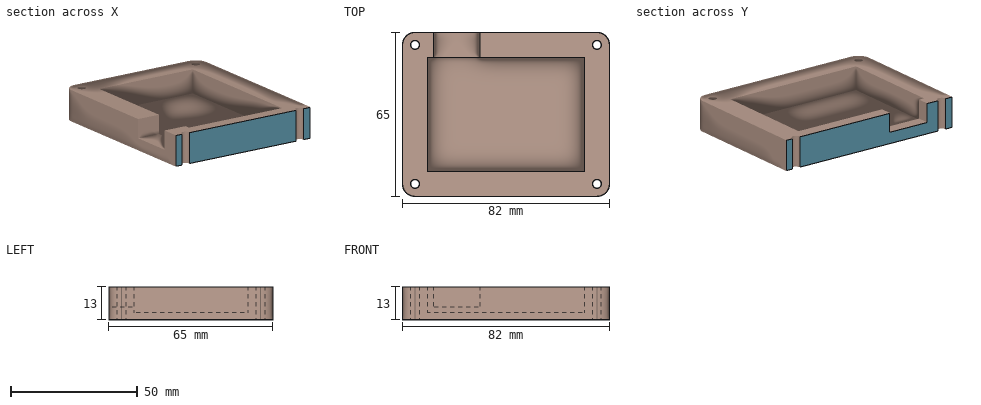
import cadquery as cq

length = 82.0
width = 65.0
height = 13.0
corner_radius = 5.0

wall = 10.0
pocket_depth = 10.0
pocket_length = length - 2 * wall
pocket_width = width - 2 * wall

notch_depth = 8.0
notch_length = 18.3
notch_offset = 2.4
notch_left = -pocket_length / 2 + notch_offset

hole_diameter = 3.4
hole_spacing_x = length - 2 * corner_radius
hole_spacing_y = width - 2 * corner_radius


def make_body():
    """Block with rounded vertical edges, standing on Z = 0."""
    block = cq.Workplane("XY").box(length, width, height, centered=(True, True, False))
    return block.edges("|Z").fillet(corner_radius)


def cut_pocket(body):
    """Rectangular pocket sunk from the top face."""
    return body.faces(">Z").workplane().rect(pocket_length, pocket_width).cutBlind(-pocket_depth)


def cut_notch(body):
    """Open channel from the pocket out through the back wall."""
    notch = (
        cq.Workplane("XY")
        .box(notch_length, wall, notch_depth, centered=False)
        .translate((notch_left, pocket_width / 2, height - notch_depth))
    )
    return body.cut(notch)


def drill_screw_holes(body):
    """One through hole in each corner."""
    return (
        body.faces("<Z")
        .workplane(centerOption="CenterOfBoundBox")
        .rect(hole_spacing_x, hole_spacing_y, forConstruction=True)
        .vertices()
        .hole(hole_diameter)
    )


result = drill_screw_holes(cut_notch(cut_pocket(make_body())))